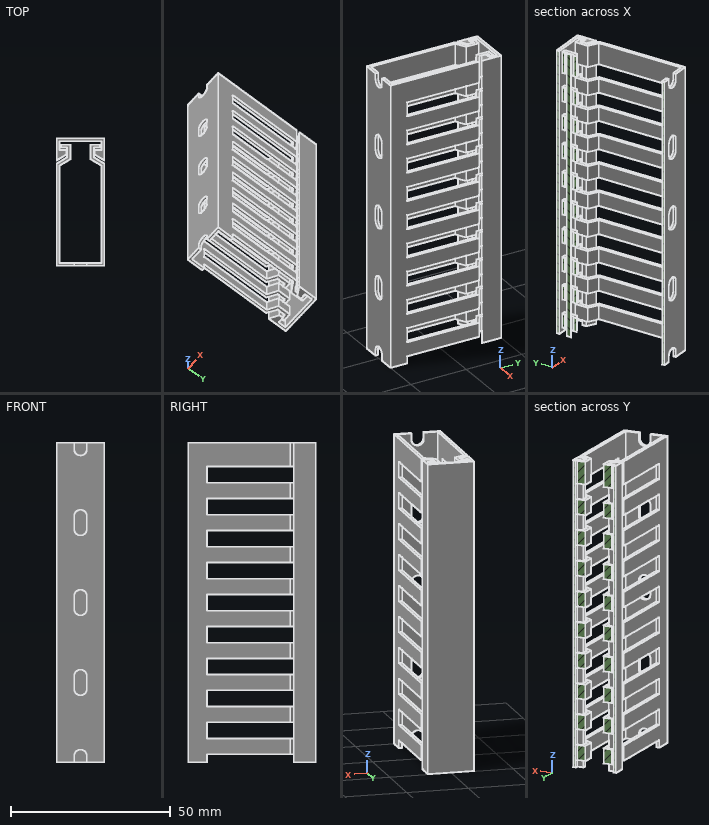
import cadquery as cq

length = 100.0
width = 15.0
depth = 40.0
half_width = width / 2

wall = 1.0
shoulder_y = 32.0
neck_y = 34.0
neck_half_width = 4.3
shoulder_drop = 0.6
neck_thickness = 1.2
channel_top = 38.0
lip_half_width = 6.1

slot_pitch = 10.0
slot_height = 5.0
slot_floor_y = 6.0
slot_count = 10

hole_pitch = 25.0
hole_width = 4.0
hole_length = 8.0
hole_count = 5

lid_wall = 1.0
tooth_top_y = 36.3
tooth_tip_y = 34.8
tooth_half_width = 4.4
lid_edge_y = 33.0


def symmetric_extrusion(right_half):
    """Extrude the section made of the right-hand points and their mirror image."""
    left_half = [(-x, y) for x, y in reversed(right_half)]
    return cq.Workplane("XY").polyline(right_half + left_half).close().extrude(length)


def side_slots():
    """Slots through both walls, open at the lips; the lowest is halved by the duct's end."""
    slot_run = depth - slot_floor_y
    centers = [(slot_floor_y + slot_run / 2, i * slot_pitch) for i in range(slot_count)]
    return (
        cq.Workplane("YZ")
        .pushPoints(centers)
        .rect(slot_run, slot_height)
        .extrude(half_width, both=True)
    )


def mounting_holes():
    """Oblong holes through the base; the first and last are halved by the ends."""
    centers = [(0, i * hole_pitch) for i in range(hole_count)]
    return (
        cq.Workplane("XZ")
        .pushPoints(centers)
        .slot2D(hole_length, hole_width, angle=90)
        .extrude(-wall)
    )


def make_channel():
    right_half = [
        (half_width, 0),
        (half_width, shoulder_y),
        (neck_half_width, neck_y),
        (neck_half_width, channel_top - wall),
        (lip_half_width, channel_top - wall),
        (lip_half_width, channel_top),
        (neck_half_width - neck_thickness, channel_top),
        (neck_half_width - neck_thickness, neck_y - shoulder_drop),
        (half_width - wall, shoulder_y - shoulder_drop),
        (half_width - wall, wall),
    ]
    return symmetric_extrusion(right_half).cut(side_slots()).cut(mounting_holes())


def make_lid():
    right_half = [
        (half_width, depth),
        (half_width, lid_edge_y),
        (tooth_half_width, tooth_tip_y),
        (tooth_half_width, tooth_top_y),
        (half_width - lid_wall, tooth_top_y),
        (half_width - lid_wall, depth - lid_wall),
    ]
    return symmetric_extrusion(right_half)


channel = make_channel()
lid = make_lid()
result = cq.Compound.makeCompound([channel.val(), lid.val()])